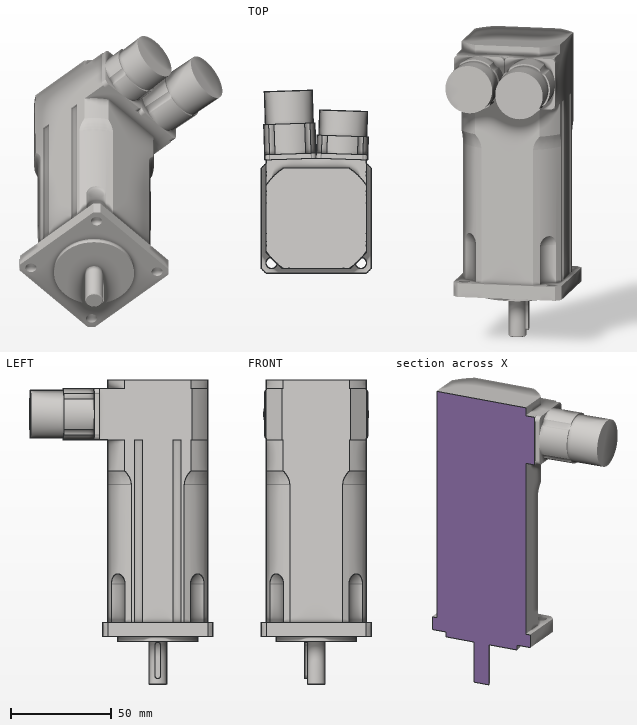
import cadquery as cq
import math


flange_side = 55.0
flange_thickness = 7.0
flange_chamfer = 2.6
pilot_diameter = 40.0
pilot_height = 2.6
shaft_diameter = 9.0
shaft_length = 24.0
shaft_chamfer = 0.5
screw_hole_diameter = 5.5
screw_hole_spacing = 44.5

key_width = 2.7
key_length = 18.1
key_top = 5.8
key_gap = 0.3

total_height = 152
top_z = total_height - shaft_length
body_side = 50.0
head_diameter = 59.9
barrel_diameter = 56.5
blend_radius = 15.0
blend_start_z = 75.7
screw_clearance_diameter = 12.0
screw_clearance_z = 26.1

groove_inner_y = 7.6
groove_outer_y = 11.5
groove_depth = 0.9

connector_tilt = 1.9
plate_side = 25.7
box_bottom_z = 98.0
box_ridge_y = 30.0
box_chamfer = 7.9

plate_thickness = 2.6
plate_corner_radius = 2.5
plug_diameter = 24.0
relief_radius = 3.2
relief_place = 10.8
power_collar_end = 17.6
power_plug_end = 34.0
signal_collar_end = 11.5
signal_plug_end = 24.2

half_body = body_side / 2
screw_hole_place = screw_hole_spacing / 2
screw_clearance_radius = screw_clearance_diameter / 2
seat_x = plate_side / 2
seat_z = box_bottom_z + plate_side / 2
tilt_slope = math.tan(math.radians(connector_tilt))
corner_signs = [(-1, -1), (1, -1), (1, 1), (-1, 1)]


def make_column():
    """Square column whose corners are turned to two diameters with a concave blend."""
    head_radius = head_diameter / 2
    barrel_radius = barrel_diameter / 2

    def blend_radius_at(height):
        drop = math.sqrt(blend_radius**2 - height**2)
        return barrel_radius + blend_radius - drop

    reach = blend_radius - (head_radius - barrel_radius)
    blend_height = math.sqrt(blend_radius**2 - reach**2)
    turned = (
        cq.Workplane("XZ")
        .lineTo(barrel_radius, 0)
        .lineTo(barrel_radius, blend_start_z)
        .threePointArc(
            (blend_radius_at(blend_height / 2), blend_start_z + blend_height / 2),
            (head_radius, blend_start_z + blend_height),
        )
        .lineTo(head_radius, top_z)
        .lineTo(0, top_z)
        .close()
        .revolve(360, (0, 0), (0, 1))
    )
    square = cq.Workplane("XY").rect(body_side, body_side).extrude(top_z)
    return square.intersect(turned)


def make_connector_box():
    """Box with front chamfers and two tilted seats at the back, flush with the column's sides."""
    seat_edge_y = box_ridge_y - half_body * tilt_slope
    return (
        cq.Workplane("XY", origin=(0, 0, box_bottom_z))
        .moveTo(box_chamfer - half_body, -half_body)
        .lineTo(half_body - box_chamfer, -half_body)
        .lineTo(half_body, box_chamfer - half_body)
        .lineTo(half_body, seat_edge_y)
        .lineTo(0, box_ridge_y)
        .lineTo(-half_body, seat_edge_y)
        .lineTo(-half_body, box_chamfer - half_body)
        .close()
        .extrude(plate_side)
    )


def make_screw_clearance(x, y):
    """Round-ended cylinder that makes room for a screw head above the flange."""
    height = screw_clearance_z - flange_thickness
    cylinder = (
        cq.Workplane("XY", origin=(x, y, flange_thickness))
        .circle(screw_clearance_radius)
        .extrude(height)
    )
    dome = cq.Workplane("XY", origin=(x, y, screw_clearance_z)).sphere(screw_clearance_radius)
    return cylinder.union(dome)


def make_side_grooves():
    """Shallow vertical grooves in the -X and +X sides, from the flange to the connector box."""
    groove_width = groove_outer_y - groove_inner_y
    groove_y = (groove_inner_y + groove_outer_y) / 2
    centres = [(sx * half_body, sy * groove_y) for sx, sy in corner_signs]
    return (
        cq.Workplane("XY", origin=(0, 0, flange_thickness))
        .pushPoints(centres)
        .rect(2 * groove_depth, groove_width)
        .extrude(box_bottom_z - flange_thickness)
    )


def make_flange():
    """Square mounting flange with chamfered corners and the round pilot below it."""
    pilot = cq.Workplane("XY").circle(pilot_diameter / 2).extrude(-pilot_height)
    return (
        cq.Workplane("XY")
        .rect(flange_side, flange_side)
        .extrude(flange_thickness)
        .edges("|Z")
        .chamfer(flange_chamfer)
        .union(pilot)
    )


def make_shaft():
    """Chamfered shaft with a round-ended key on its -X side."""
    shaft = (
        cq.Workplane("XY")
        .circle(shaft_diameter / 2)
        .extrude(-shaft_length)
        .faces("<Z")
        .chamfer(shaft_chamfer)
    )
    key_z = -pilot_height - key_gap - key_length / 2
    key = (
        cq.Workplane("YZ", origin=(0, 0, key_z))
        .slot2D(key_length, key_width, 90)
        .extrude(-key_top)
    )
    return shaft.union(key)


def make_motor():
    """Motor body with its flange, shaft and connector box."""
    column = make_column()
    box_zone = (
        cq.Workplane("XY", origin=(0, 0, box_bottom_z))
        .rect(body_side, body_side)
        .extrude(plate_side)
    )
    motor = column.cut(box_zone).union(make_connector_box())
    motor = motor.cut(make_side_grooves())
    hole_places = [(sx * screw_hole_place, sy * screw_hole_place) for sx, sy in corner_signs]
    for x, y in hole_places:
        motor = motor.cut(make_screw_clearance(x, y))
    motor = motor.union(make_flange()).union(make_shaft())
    holes = (
        cq.Workplane("XY")
        .pushPoints(hole_places)
        .circle(screw_hole_diameter / 2)
        .extrude(flange_thickness)
    )
    return motor.cut(holes)


def make_connector(side, collar_end, plug_end):
    """Connector on the -X (side = -1) or +X (side = 1) seat: plate, relieved collar and plug."""
    tilt = math.radians(connector_tilt)
    seat = cq.Plane(
        origin=(side * seat_x, box_ridge_y - seat_x * tilt_slope, seat_z),
        xDir=(math.cos(tilt), -side * math.sin(tilt), 0),
        normal=(side * math.sin(tilt), math.cos(tilt), 0),
    )
    plate = (
        cq.Workplane(seat)
        .rect(plate_side, plate_side)
        .extrude(plate_thickness)
        .edges(cq.selectors.ParallelDirSelector(seat.zDir))
        .fillet(plate_corner_radius)
    )
    reliefs = (
        cq.Workplane(seat)
        .pushPoints([(sx * relief_place, sy * relief_place) for sx, sy in corner_signs])
        .circle(relief_radius)
        .extrude(collar_end)
    )
    collar = cq.Workplane(seat).circle(plate_side / 2).extrude(collar_end).cut(reliefs)
    plug = cq.Workplane(seat).circle(plug_diameter / 2).extrude(plug_end)
    return plate.union(collar).union(plug)


motor = make_motor()
power_connector = make_connector(-1, power_collar_end, power_plug_end)
signal_connector = make_connector(1, signal_collar_end, signal_plug_end)

result = cq.Compound.makeCompound(
    [motor.val(), power_connector.val(), signal_connector.val()]
)